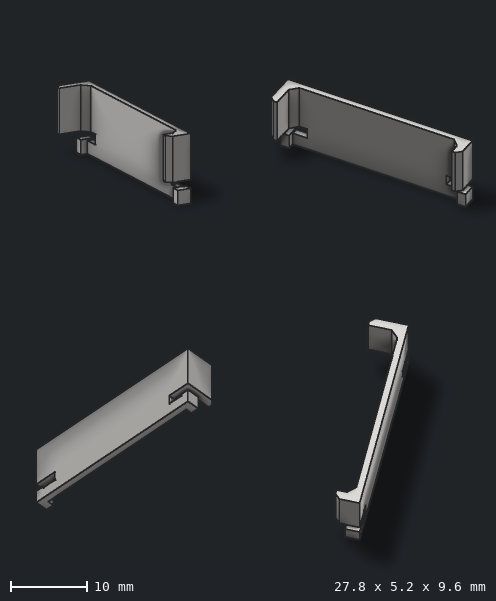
import cadquery as cq

length = 27.8
height = 9.6
plate_thickness = 1.0

arm_width = 1.28
left_arm_depth = 5.2
right_arm_depth = 3.45
arm_bottom = 3.25
tip_chamfer = 0.7
corner_chamfer = 1.0

notch_length = 3.45
notch_bottom = 1.83
foot_height = 2.08
foot_depth = 1.97

half_length = length / 2


def box(x_start, x_end, depth, z_start, z_end):
    """Block reaching from the back face toward -Y."""
    return cq.Workplane("XY").box(
        x_end - x_start, depth, z_end - z_start, centered=False
    ).translate((x_start, -depth, z_start))


def left_arm(depth):
    """Arm at the -X end, with a chamfered tip and a sloped inner corner."""
    inner_x = -half_length + arm_width
    outline = [
        (-half_length, 0),
        (-half_length, -depth + tip_chamfer),
        (-half_length + tip_chamfer, -depth),
        (inner_x, -depth),
        (inner_x, -plate_thickness - corner_chamfer),
        (inner_x + corner_chamfer, -plate_thickness),
        (inner_x + corner_chamfer, 0),
    ]
    return (
        cq.Workplane("XY")
        .workplane(offset=arm_bottom)
        .polyline(outline)
        .close()
        .extrude(height - arm_bottom)
    )


def left_end(arm_depth):
    """Arm and foot at the -X end."""
    foot = box(-half_length, -half_length + arm_width, foot_depth, 0, foot_height)
    return left_arm(arm_depth).union(foot)


plate = box(-half_length, half_length, plate_thickness, 0, height)
for notch_start in (-half_length, half_length - notch_length):
    notch = box(notch_start, notch_start + notch_length, plate_thickness, notch_bottom, arm_bottom)
    plate = plate.cut(notch)

result = (
    plate
    .union(left_end(left_arm_depth))
    .union(left_end(right_arm_depth).mirror("YZ"))
)